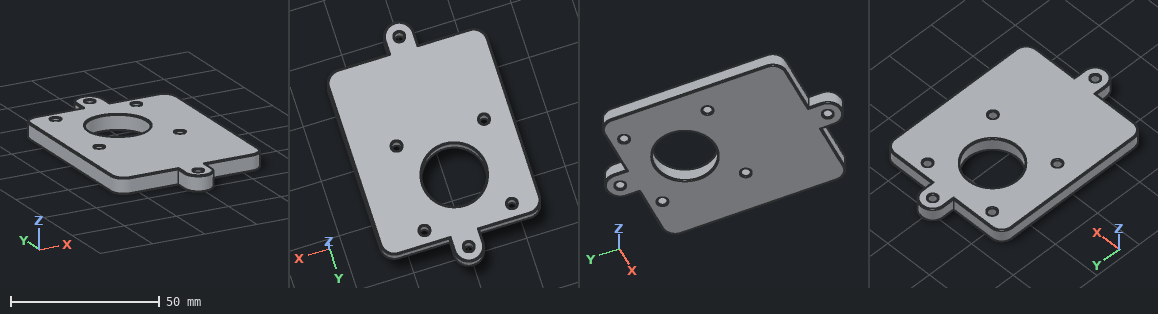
import cadquery as cq

plate_width = 56.5
overall_length = 87.5
plate_length = 67.6
thickness = 6.0
corner_radius = 5.0
edge_chamfer = 0.4

ear_width = 10.4
ear_radius = ear_width / 2
ear_center_y = overall_length / 2 - ear_radius

motor_x = -3.0
motor_y = 13.1
bore_diameter = 22.1
screw_spacing = 31.0
screw_diameter = 3.3


def make_blank():
    """Rounded plate with both ears, chamfered around its top and bottom faces."""
    plate = (
        cq.Workplane("XY")
        .rect(plate_width, plate_length)
        .extrude(thickness)
        .edges("|Z")
        .fillet(corner_radius)
    )
    ears = (
        cq.Workplane("XY")
        .slot2D(overall_length, ear_width, 90)
        .extrude(thickness)
    )
    return plate.union(ears).clean().faces("<Z or >Z").chamfer(edge_chamfer)


def chamfered_hole(x, y, diameter):
    """Cutting tool for a through hole whose two rims are chamfered."""
    radius = diameter / 2
    rim_radius = radius + edge_chamfer
    profile = [
        (0, 0),
        (rim_radius, 0),
        (radius, edge_chamfer),
        (radius, thickness - edge_chamfer),
        (rim_radius, thickness),
        (0, thickness),
    ]
    tool = cq.Workplane("XZ").polyline(profile).close().revolve(360, (0, 0), (0, 1))
    return tool.translate((x, y, 0))


result = make_blank()

result = result.cut(chamfered_hole(motor_x, motor_y, bore_diameter))

for side_x in (-1, 1):
    for side_y in (-1, 1):
        screw_x = motor_x + side_x * screw_spacing / 2
        screw_y = motor_y + side_y * screw_spacing / 2
        result = result.cut(chamfered_hole(screw_x, screw_y, screw_diameter))

for side_y in (-1, 1):
    result = result.cut(chamfered_hole(0, side_y * ear_center_y, screw_diameter))